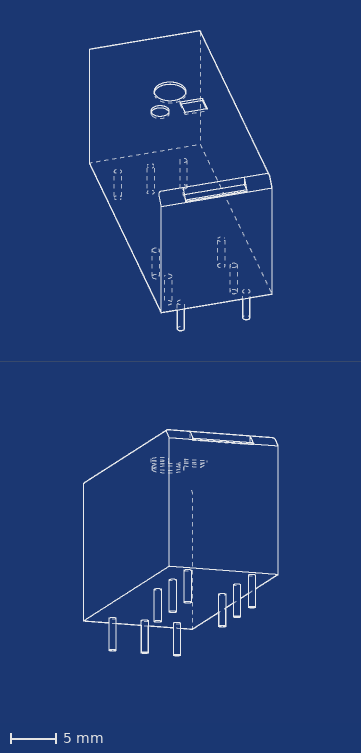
import cadquery as cq

LENGTH = 29.0
WIDTH = 12.7
HEIGHT = 15.7
TOP_EDGE_RADIUS = 0.3
END_CHAMFER = 1.2

NOTCH_WIDTH = 7.0
LEDGE_DEPTH = 0.2

RECESS_DEPTH = 0.3
LARGE_RECESS_DIAMETER = 3.5
LARGE_RECESS_CENTRE = (-4.3, 0.0)
SMALL_RECESS_DIAMETER = 2.0
SMALL_RECESS_CENTRE = (-1.1, -2.05)
WINDOW_LENGTH = 2.0
WINDOW_WIDTH = 2.55
WINDOW_CENTRE = (-1.1, 1.8)

PIN_DIAMETER = 0.8
PIN_LENGTH = 3.6
CONTACT_PITCH = 5.04
FIRST_CONTACT_X = 3.12
CONTACT_COLUMNS = 3
PIN_ROW_Y = 3.75
END_PIN_X = -12.14


def make_housing():
    """Block with three rounded top edges and a chamfer on the +X top edge."""
    block = cq.Workplane("XY").box(LENGTH, WIDTH, HEIGHT, centered=(True, True, False))
    rounded = block.faces(">Z").edges("<X or <Y or >Y").fillet(TOP_EDGE_RADIUS)
    corner = (
        cq.Workplane("XZ")
        .moveTo(LENGTH / 2, HEIGHT)
        .lineTo(LENGTH / 2 - END_CHAMFER, HEIGHT)
        .lineTo(LENGTH / 2, HEIGHT - END_CHAMFER)
        .close()
        .extrude(WIDTH / 2, both=True)
    )
    return rounded.cut(corner)


def make_notch():
    """Stepped cutter: a floor meeting the chamfer, then a narrow ledge at the chamfer foot."""
    back_x = LENGTH / 2 - END_CHAMFER
    ledge_x = LENGTH / 2 - LEDGE_DEPTH
    ledge_z = HEIGHT - END_CHAMFER
    floor_z = ledge_z + LEDGE_DEPTH
    return (
        cq.Workplane("XZ")
        .moveTo(back_x, HEIGHT)
        .lineTo(back_x, floor_z)
        .lineTo(ledge_x, floor_z)
        .lineTo(ledge_x, ledge_z)
        .lineTo(LENGTH / 2, ledge_z)
        .lineTo(LENGTH / 2, HEIGHT)
        .close()
        .extrude(NOTCH_WIDTH / 2, both=True)
    )


def make_top_recesses():
    """Cutters for the two round recesses and the rectangular window."""
    floor = cq.Workplane("XY").workplane(offset=HEIGHT - RECESS_DEPTH)
    large = floor.center(*LARGE_RECESS_CENTRE).circle(LARGE_RECESS_DIAMETER / 2).extrude(RECESS_DEPTH)
    small = floor.center(*SMALL_RECESS_CENTRE).circle(SMALL_RECESS_DIAMETER / 2).extrude(RECESS_DEPTH)
    window = floor.center(*WINDOW_CENTRE).rect(WINDOW_LENGTH, WINDOW_WIDTH).extrude(RECESS_DEPTH)
    return large.union(small).union(window)


def make_pins():
    """Three pins across the -X end and two mirrored rows of contact pins."""
    positions = [(END_PIN_X, y) for y in (-PIN_ROW_Y, 0, PIN_ROW_Y)]
    for column in range(CONTACT_COLUMNS):
        pin_x = FIRST_CONTACT_X + column * CONTACT_PITCH
        positions += [(pin_x, -PIN_ROW_Y), (pin_x, PIN_ROW_Y)]
    return cq.Workplane("XY").pushPoints(positions).circle(PIN_DIAMETER / 2).extrude(-PIN_LENGTH)


result = make_housing().cut(make_notch()).cut(make_top_recesses()).union(make_pins())